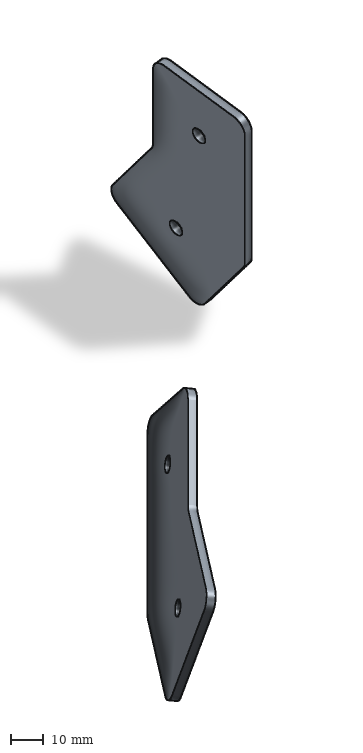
import cadquery as cq
import math

arm_width = 40.0
arm_length = 40.0
thickness = 3.0
bend_angle = 30.0
corner_radius = 5.0
hole_diameter = 5.5

bend = math.radians(bend_angle)
bend_drop = arm_width * math.tan(bend)
lower_step_x = -arm_length * math.sin(bend)
lower_step_z = -arm_length * math.cos(bend)

inner_bend = (0, 0)
top_left = (0, arm_length)
top_right = (arm_width, arm_length)
outer_bend = (arm_width, -bend_drop)
lower_right = (arm_width + lower_step_x, -bend_drop + lower_step_z)
lower_left = (lower_step_x, lower_step_z)

upper_hole = (arm_width / 2, arm_length / 2)
lower_hole = (
    (arm_width + lower_step_x) / 2,
    (lower_step_z - bend_drop) / 2,
)

outline = [inner_bend, top_left, top_right, outer_bend, lower_right, lower_left]
plate = (
    cq.Workplane("XZ")
    .polyline(outline)
    .close()
    .extrude(thickness)
    .edges("|Y")
    .fillet(corner_radius)
)

holes = (
    cq.Workplane("XZ")
    .pushPoints([upper_hole, lower_hole])
    .circle(hole_diameter / 2)
    .extrude(thickness)
)

result = plate.cut(holes)